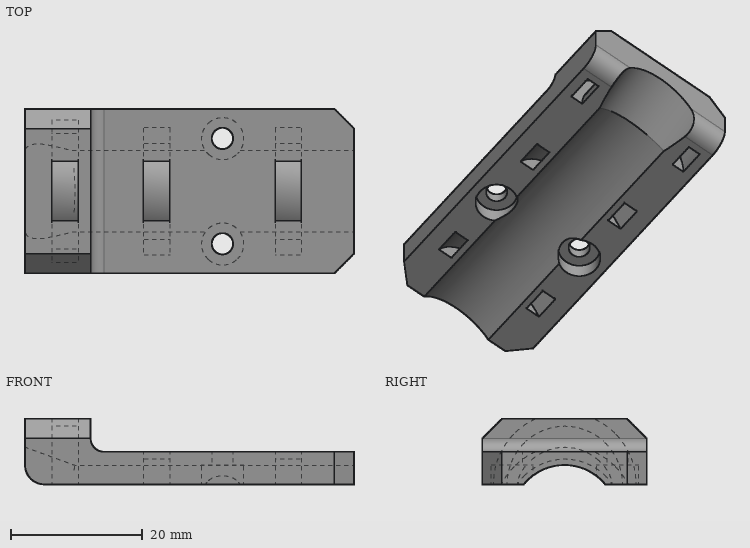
import cadquery as cq
import math

length = 50.0
width = 25.0
plate_height = 5.0
head_height = 10.0
head_length = 10.0
corner_chamfer = 3.0
nose_radius = 3.0
neck_radius = 2.0

hole_diameter = 3.2
counterbore_diameter = 2 * hole_diameter
counterbore_depth = 3.0
hole_x = 30.0
hole_spacing = 16.0

channel_radius = 8.0
channel_top = 2.95
ramp_top = 5.7
ramp_angle = 20.0

strap_width = 4.0
strap_opening = 9.0
strap_inner_radius = 8.75
strap_cover = 1.1
head_strap_x = 6.1
plate_strap_xs = (20.0, 40.0)


def make_body():
    """Side outline with a raised head, extruded across the width."""
    neck_x = head_length + neck_radius
    neck_z = plate_height + neck_radius
    diagonal = math.sqrt(0.5)
    body = (
        cq.Workplane("XZ", origin=(0, width / 2, 0))
        .moveTo(nose_radius, 0)
        .lineTo(length, 0)
        .lineTo(length, plate_height)
        .lineTo(neck_x, plate_height)
        .threePointArc(
            (neck_x - neck_radius * diagonal, neck_z - neck_radius * diagonal),
            (head_length, neck_z),
        )
        .lineTo(head_length, head_height)
        .lineTo(0, head_height)
        .lineTo(0, nose_radius)
        .threePointArc(
            (nose_radius * (1 - diagonal), nose_radius * (1 - diagonal)),
            (nose_radius, 0),
        )
        .close()
        .extrude(width)
    )
    body = body.edges("|X and >Z").edges("<Y or >Y").chamfer(corner_chamfer)
    return body.edges("|Z and >X").chamfer(corner_chamfer)


def make_channel():
    """Level cylinder joined by a tilted one of the same radius at the head end."""
    level_z = channel_top - channel_radius
    angle = math.radians(ramp_angle)
    axis = cq.Vector(math.cos(angle), 0, -math.sin(angle))
    ramp_axis_z = ramp_top - channel_radius / math.cos(angle)
    ramp_start = cq.Vector(0, 0, ramp_axis_z) - axis * length
    level = cq.Solid.makeCylinder(channel_radius, length, cq.Vector(0, 0, level_z), cq.Vector(1, 0, 0))
    ramp = cq.Solid.makeCylinder(channel_radius, 2 * length, ramp_start, axis)
    return cq.Workplane(level).union(cq.Workplane(ramp))


def make_strap_tunnel(x, top):
    """Ring whose outer surface meets the top face at the edges of the opening."""
    centre_z = top - strap_cover - strap_inner_radius
    outer_radius = math.hypot(strap_opening / 2, top - centre_z)
    return (
        cq.Workplane("YZ", origin=(x - strap_width / 2, 0, centre_z))
        .circle(outer_radius)
        .circle(strap_inner_radius)
        .extrude(strap_width)
    )


def make_screw_holes():
    """Through holes with counterbores opening on the underside."""
    centres = [(hole_x, -hole_spacing / 2), (hole_x, hole_spacing / 2)]
    base = cq.Workplane("XY").pushPoints(centres)
    holes = base.circle(hole_diameter / 2).extrude(plate_height)
    counterbores = base.circle(counterbore_diameter / 2).extrude(counterbore_depth)
    return holes.union(counterbores)


result = make_body().cut(make_channel()).cut(make_screw_holes())
result = result.cut(make_strap_tunnel(head_strap_x, head_height))
for strap_x in plate_strap_xs:
    result = result.cut(make_strap_tunnel(strap_x, plate_height))